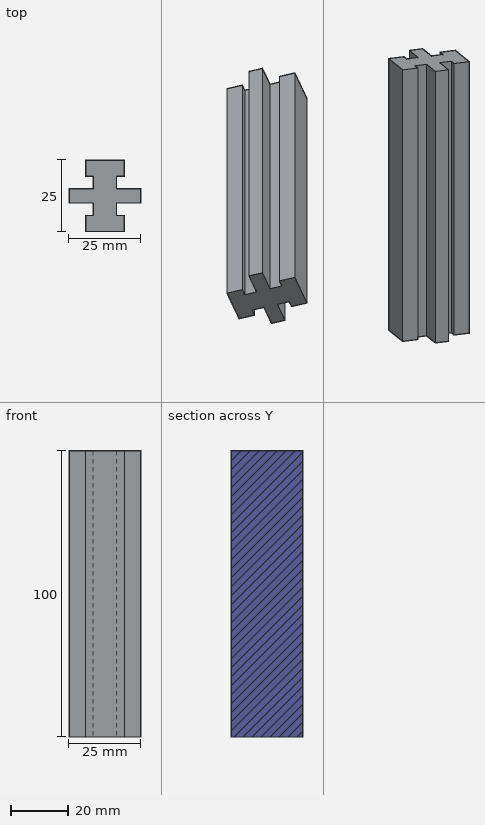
import cadquery as cq

length = 100.0
span = 25.0

flange_width = 13.5
flange_thickness = 5.7
web_width = 8.2
fin_thickness = 5.0


def bar(size_x, size_y, center_y=0.0):
    """Full-length rectangular bar standing on the XY plane."""
    return cq.Workplane("XY").center(0, center_y).rect(size_x, size_y).extrude(length)


result = bar(web_width, span).union(bar(span, fin_thickness))

flange_center = (span - flange_thickness) / 2
for side in (-1, 1):
    result = result.union(bar(flange_width, flange_thickness, side * flange_center))